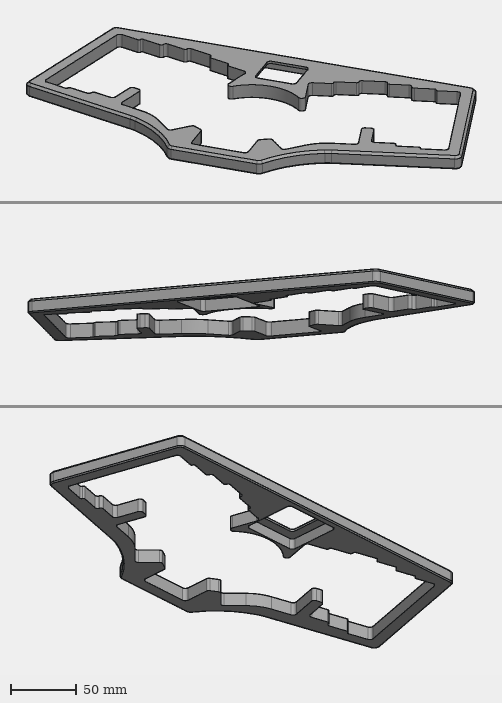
import cadquery as cq
import math

half_length = 354.5 / 2
half_width = 176.0 / 2
thickness = 11.0

tilt = math.radians(15)

outer_corner_radius = 5.0
top_chamfer = 2.0
bottom_chamfer = 1.0
wing_bottom = -71.0
knee_x = -80.0
knee_radius = 35.5
knee_reach = 3.5
chin_half_length = 37.5
chin_arc_radius = 86.0

key_pitch = 19.0
key_clearance = 1.25
first_column = -153.5
column_tops = [38.3, 41.0, 45.7, 49.5, 45.7, 42.5]
column_bottoms = [-60.3, -57.5, -52.8]
step_rounding = 0.48
inner_corner_radius = 3.0
shoulder = first_column + len(column_tops) * key_pitch + key_clearance

prong_tip = -29.0
prong_width = key_pitch / 2
tip_radius = 3.0

thumb_floor = -57.5
thumb_bend_radius = 39.0
valley = (-46.5, -62.5)
valley_radius = 2.5
peak_x = -32.0
peak_slope = math.radians(30)
bay_half_length = 23.0
bay_floor = -77.3

arch_top = 34.7
arch_radius = 40.0
window_length = 33.3
window_top = 74.5
window_bottom = 44.3
window_lip = 2.0
window_recess_margin = 8.0


def wing_point(along, up):
    """Convert a point of the left wing's tilted frame to X and Y."""
    x = along * math.cos(tilt) + up * math.sin(tilt)
    y = -along * math.sin(tilt) + up * math.cos(tilt)
    return x, y


def toward(start, end, distance):
    """Point at a given distance from start in the direction of end."""
    ratio = distance / math.dist(start, end)
    return start[0] + ratio * (end[0] - start[0]), start[1] + ratio * (end[1] - start[1])


def add_rounded_corner(sketch, before, corner, after, radius):
    """Draw a line to the corner and round it with a tangent arc."""
    angle_in = math.atan2(before[1] - corner[1], before[0] - corner[0])
    angle_out = math.atan2(after[1] - corner[1], after[0] - corner[0])
    half_angle = math.acos(math.cos(angle_in - angle_out)) / 2
    tangent_length = radius / math.tan(half_angle)
    arc_start = toward(corner, before, tangent_length)
    arc_end = toward(corner, after, tangent_length)
    chord_middle = ((arc_start[0] + arc_end[0]) / 2, (arc_start[1] + arc_end[1]) / 2)
    arc_middle = toward(corner, chord_middle, radius / math.sin(half_angle) - radius)
    return sketch.lineTo(*arc_start).threePointArc(arc_middle, arc_end)


def mirrored(half):
    """Join a left half with its mirror image."""
    return half.union(half.mirror("YZ"))


def outer_plate():
    """Solid plate with the outer outline and both rim chamfers."""
    corner_center_x = -half_length + outer_corner_radius
    corner_center_up = wing_bottom + outer_corner_radius
    corner_center_along = (corner_center_x - corner_center_up * math.sin(tilt)) / math.cos(tilt)
    side = corner_center_along - outer_corner_radius

    top_corner_x = (side + half_width * math.sin(tilt)) / math.cos(tilt)
    knee_y = (wing_bottom - knee_x * math.sin(tilt)) / math.cos(tilt)
    chin_span = math.hypot(chin_half_length + knee_x, half_width + knee_y)
    chin_sagitta = chin_arc_radius - math.sqrt(chin_arc_radius**2 - (chin_span / 2) ** 2)

    plate = mirrored(
        cq.Workplane("XY")
        .moveTo(0, half_width)
        .lineTo(top_corner_x, half_width)
        .lineTo(*wing_point(side, wing_bottom))
        .lineTo(knee_x, knee_y)
        .sagittaArc((-chin_half_length, -half_width), chin_sagitta)
        .lineTo(0, -half_width)
        .close()
        .extrude(thickness)
    ).clean()
    below, above = knee_y - knee_reach, knee_y + knee_reach
    knees = cq.selectors.BoxSelector((-half_length, below, 0), (half_length, above, thickness))
    corner_edges = cq.selectors.SubtractSelector(cq.selectors.StringSyntaxSelector("|Z"), knees)
    plate = plate.edges(corner_edges).fillet(outer_corner_radius)
    plate = plate.edges(knees).edges("|Z").fillet(knee_radius)
    return plate.faces(">Z").chamfer(top_chamfer).faces("<Z").chamfer(bottom_chamfer)


def step_corners(along, before, after):
    """Both corners (point, radius) of a step between two columns, rounded into an S."""
    radius = step_rounding * abs(after - before)
    return [(wing_point(along, before), radius), (wing_point(along, after), radius)]


def wing_corners():
    """Corners (point, radius) around the wing, from the prong's inner foot to the arch's shoulder."""
    prong_outer = first_column + len(column_bottoms) * key_pitch + key_clearance
    prong_inner = prong_outer + prong_width
    corners = [
        (wing_point(prong_inner, thumb_floor), inner_corner_radius),
        (wing_point(prong_inner, prong_tip), tip_radius),
        (wing_point(prong_outer, prong_tip), tip_radius),
        (wing_point(prong_outer, column_bottoms[-1]), inner_corner_radius),
    ]
    for column in range(len(column_bottoms) - 1, 0, -1):
        along = first_column + column * key_pitch + key_clearance
        corners += step_corners(along, column_bottoms[column], column_bottoms[column - 1])

    wall = first_column - key_clearance
    corners.append((wing_point(wall, column_bottoms[0]), inner_corner_radius))
    corners.append((wing_point(wall, column_tops[0]), inner_corner_radius))

    for column in range(1, len(column_tops)):
        before, after = column_tops[column - 1], column_tops[column]
        clearance = key_clearance if before > after else -key_clearance
        along = first_column + column * key_pitch + clearance
        corners += step_corners(along, before, after)

    corners.append((wing_point(shoulder, column_tops[-1]), inner_corner_radius))
    return corners


def thumb_corners():
    """Corners (point, radius) from the bay in the middle to the bend below the thumb keys."""
    valley_x, valley_y = valley
    peak_y = valley_y + peak_x - valley_x
    bay_top = peak_y - (-bay_half_length - peak_x) * math.tan(peak_slope)
    flank_sum = valley_x + valley_y
    bend_x = (flank_sum * math.cos(tilt) - thumb_floor) / (math.cos(tilt) - math.sin(tilt))
    return [
        ((-bay_half_length, bay_floor), inner_corner_radius),
        ((-bay_half_length, bay_top), inner_corner_radius),
        ((peak_x, peak_y), valley_radius),
        (valley, valley_radius),
        ((bend_x, flank_sum - bend_x), thumb_bend_radius),
    ]


def inner_opening():
    """Solid that fills the large opening."""
    arch_center_y = arch_top - arch_radius
    center_along = arch_center_y * -math.sin(tilt)
    center_up = arch_center_y * math.cos(tilt)
    tip_along = shoulder + tip_radius
    reach = arch_radius + tip_radius
    tip_up = center_up + math.sqrt(reach**2 - (tip_along - center_along) ** 2)
    tip_center = wing_point(tip_along, tip_up)
    tip_start = wing_point(shoulder, tip_up)
    tip_end = toward(tip_center, (0, arch_center_y), tip_radius)
    tip_chord_middle = ((tip_start[0] + tip_end[0]) / 2, (tip_start[1] + tip_end[1]) / 2)
    tip_middle = toward(tip_center, tip_chord_middle, tip_radius)
    arch_angle = math.atan2(-tip_end[0], tip_end[1] - arch_center_y) / 2
    arch_middle = (-arch_radius * math.sin(arch_angle), arch_center_y + arch_radius * math.cos(arch_angle))

    start = (0, bay_floor)
    corners = thumb_corners() + wing_corners()
    path = [start] + [point for point, _ in corners] + [tip_start]
    sketch = cq.Workplane("XY").moveTo(*start)
    for index, (corner, radius) in enumerate(corners):
        sketch = add_rounded_corner(sketch, path[index], corner, path[index + 2], radius)
    half = (
        sketch.lineTo(*tip_start)
        .threePointArc(tip_middle, tip_end)
        .threePointArc(arch_middle, (0, arch_top))
        .close()
        .extrude(thickness)
    )
    return mirrored(half)


def window_block(margin, height):
    """Solid with rounded corners that exceeds the window by a margin on every side."""
    return (
        cq.Workplane("XY")
        .center(0, (window_top + window_bottom) / 2)
        .rect(window_length + 2 * margin, window_top - window_bottom + 2 * margin)
        .extrude(height)
        .edges("|Z")
        .fillet(inner_corner_radius)
    )


window = window_block(0, thickness)
window_recess = window_block(window_recess_margin, thickness - window_lip)
result = outer_plate().cut(inner_opening()).cut(window).cut(window_recess)